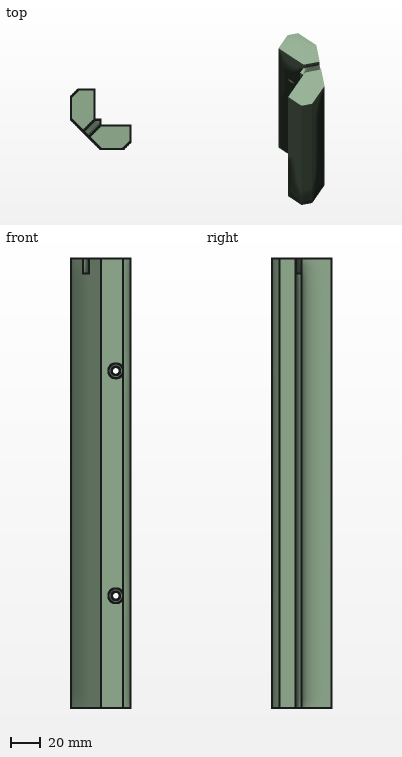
import cadquery as cq
import math

length = 301.8
leg_width = 40.0
leg_thickness = 16.0

outer_chamfer = 20.2
edge_chamfer = 5.0
ridge_reach = 20.0

notch_width = 5.5
notch_depth = 10.3

hole_diameter = 5.5
counterbore_diameter = 10.0
counterbore_depth = 3.0
hole_from_corner = 30.2
hole_heights = (length / 4, 3 * length / 4)


def make_bar():
    """Equal-leg angle with a bevelled corner and a square ridge inside it."""
    outline = [
        (outer_chamfer, 0),
        (leg_width - edge_chamfer, 0),
        (leg_width, edge_chamfer),
        (leg_width, leg_thickness),
        (ridge_reach, leg_thickness),
        (ridge_reach, ridge_reach),
        (leg_thickness, ridge_reach),
        (leg_thickness, leg_width),
        (edge_chamfer, leg_width),
        (0, leg_width - edge_chamfer),
        (0, outer_chamfer),
    ]
    return cq.Workplane("XY").polyline(outline).close().extrude(length)


def make_notch():
    """Slot cutter running along the diagonal of the corner."""
    cutter_length = 2 * leg_width * math.sqrt(2)
    return (
        cq.Workplane("XY")
        .box(cutter_length, notch_width, notch_depth, centered=(True, True, False))
        .rotate((0, 0, 0), (0, 0, 1), 45)
        .translate((0, 0, length - notch_depth))
    )


def make_screw_hole(height):
    """Through hole along Y, counterbored from the front face."""
    start = cq.Workplane("XZ", origin=(hole_from_corner, 0, height))
    bore = start.circle(hole_diameter / 2).extrude(-leg_thickness)
    counterbore = start.circle(counterbore_diameter / 2).extrude(-counterbore_depth)
    return bore.union(counterbore)


result = make_bar().cut(make_notch())
for hole_height in hole_heights:
    result = result.cut(make_screw_hole(hole_height))